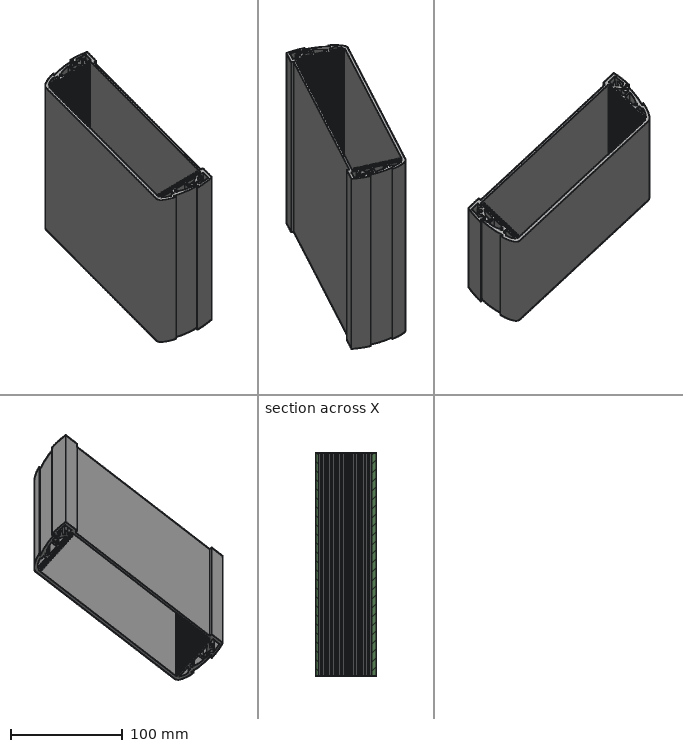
import cadquery as cq


width = 187.0
depth = 54.5
length = 200.0
half_width = width / 2
top_y = depth / 2
bottom_y = -depth / 2

cover_plate_top = 25.0
cover_plate_bottom = 22.8
base_plate_top = bottom_y + 3.0
wall_inner_x = 80.8
wall_outer_x = 82.5
wall_split_y = 16.2
interior_fillet = 0.8

rail_pitch = 3.0
rail_first_y = -22.0
base_rail_count = 13
cover_rail_count = 2
rail_tip_x = 78.2
rail_head_depth = 1.2
rail_head_thickness = 1.5
rail_neck_thickness = 0.8

pad_inner_x = 78.5
corner_x = 91.8
arm_mid = (93.0, 19.2)
arm_lip_end_y = 9.5
arm_lip_thickness = 0.5
box_top_y = 24.5
box_outer_x = 90.2
arm_inner_x = 91.0
foot_outer_x = 91.5
foot_inner_x = 89.8
lip_root_y = 11.8
bridge_root_y = 14.5
bridge_tip_y = 12.5
bridge_bottom_y = 11.5

channel_x = 85.8
channel_y = 17.5
channel_radius = 1.2
channel_outer_radius = 3.2
channel_mouth = 1.8
channel_mouth_angle = 45
channel_web_top_y = 19.0
channel_web_end = (85.5, 11.8)

leg_outer_x = 87.5
leg_inner_x = 86.0
leg_end_y = 6.5
leg_end_outer_x = 88.5
barb_top_y = 9.8
barb_tip_x = 89.5
barb_tip_top_y = 8.2
barb_tip_bottom_y = 7.5

seat_y = 10.5
catch_lip_x = 88.5
catch_lip_bottom_y = 9.5

panel_mid = (91.0, 0.5)
panel_end = (88.2, -12.8)
panel_lip_tip = (90.2, -11.5)
lower_mid = (88.5, -18.5)
corner_start = (85.5, -24.5)
corner_mid = (83.5, -26.5)
corner_end = (80.5, bottom_y)

shelf_top_y = 5.5
shelf_bottom_y = 3.8
shelf_chamfer = 0.8
chamber_outer_x = 88.8
chamber_mid = (88.0, -1.2)
chamber_low = (86.2, -6.0)
chamber_wall_y = -6.0
pocket_x = 84.5
pocket_y = -7.8
pocket_radius = 1.2
pocket_throat = 1.5
lower_chamber_top_y = -11.0
lower_chamber_outer_x = 85.5
lower_chamber_step_y = -13.8
lower_chamber_step = (86.5, -14.8)
lower_chamber_mid = (85.2, -18.8)
lower_chamber_tip = (wall_outer_x, -23.0)


def extrude(outline):
    """Extrude a closed outline over the full length."""
    return outline.close().extrude(length)


def bar(x_start, x_end, y_start, y_end):
    """Rectangular bar over the full length."""
    sketch = cq.Workplane("XY").moveTo((x_start + x_end) / 2, (y_start + y_end) / 2)
    return sketch.rect(abs(x_end - x_start), abs(y_end - y_start)).extrude(length)


def rod(x, y, radius):
    """Round rod over the full length."""
    return cq.Workplane("XY").moveTo(x, y).circle(radius).extrude(length)


def both_sides(side):
    """Join a +X side with its mirror image."""
    return side.union(side.mirror("YZ"))


def round_inner_corners(body, y):
    """Fillet where both inner walls meet a plate face at height y."""
    for side in (-1, 1):
        corner = cq.selectors.NearestToPointSelector((side * wall_inner_x, y, length / 2))
        body = body.edges("|Z").edges(corner).fillet(interior_fillet)
    return body


def rails(first_index, count):
    """T-shaped card guide rails on the inner wall."""
    head_root_x = rail_tip_x + rail_head_depth
    group = cq.Workplane("XY")
    for index in range(first_index, first_index + count):
        y = rail_first_y + index * rail_pitch
        half_head = rail_head_thickness / 2
        half_neck = rail_neck_thickness / 2
        group = group.union(bar(rail_tip_x, head_root_x, y - half_head, y + half_head))
        group = group.union(bar(head_root_x, wall_inner_x, y - half_neck, y + half_neck))
    return group


def cover_arm():
    """Corner pad, outer arm with a thin lip, and the bridge and barbed leg under the corner box."""
    return extrude(
        cq.Workplane("XY")
        .moveTo(pad_inner_x, top_y)
        .lineTo(corner_x, top_y)
        .threePointArc(arm_mid, (half_width, arm_lip_end_y))
        .lineTo(half_width - arm_lip_thickness, arm_lip_end_y)
        .lineTo(foot_outer_x, lip_root_y)
        .lineTo(foot_outer_x, seat_y)
        .lineTo(foot_inner_x, seat_y)
        .lineTo(foot_inner_x, bridge_bottom_y)
        .lineTo(leg_outer_x, bridge_bottom_y)
        .lineTo(leg_outer_x, barb_top_y)
        .lineTo(barb_tip_x, barb_tip_top_y)
        .lineTo(barb_tip_x, barb_tip_bottom_y)
        .lineTo(leg_end_outer_x, leg_end_y)
        .lineTo(leg_inner_x, leg_end_y)
        .lineTo(leg_inner_x, bridge_tip_y)
        .lineTo(leg_outer_x, bridge_tip_y)
        .lineTo(arm_inner_x, bridge_root_y)
        .lineTo(box_outer_x, box_top_y)
        .lineTo(wall_outer_x, box_top_y)
        .lineTo(wall_outer_x, cover_plate_bottom)
        .lineTo(pad_inner_x, cover_plate_bottom)
    )


def cover_screw_channel():
    """Slotted screw channel, carried by a web between the inner wall and the snap leg."""
    web = extrude(
        cq.Workplane("XY")
        .moveTo(wall_inner_x, channel_web_top_y)
        .lineTo(channel_x, channel_web_top_y)
        .lineTo(leg_outer_x, channel_y)
        .lineTo(leg_outer_x, channel_web_end[1])
        .lineTo(*channel_web_end)
        .lineTo(wall_outer_x, wall_split_y)
        .lineTo(wall_inner_x, wall_split_y)
    )
    mouth = bar(0, 2 * channel_outer_radius, -channel_mouth / 2, channel_mouth / 2)
    mouth = mouth.rotate((0, 0, 0), (0, 0, 1), channel_mouth_angle).translate((channel_x, channel_y, 0))
    channel = web.union(rod(channel_x, channel_y, channel_outer_radius))
    return channel.cut(rod(channel_x, channel_y, channel_radius)).cut(mouth)


def build_cover():
    """Flat plate with a corner box, screw channel and snap leg on each side."""
    wall = bar(wall_inner_x, wall_outer_x, wall_split_y, cover_plate_top)
    side = cover_arm().union(wall).union(cover_screw_channel())
    side = side.union(rails(base_rail_count, cover_rail_count))
    plate = bar(-wall_outer_x, wall_outer_x, cover_plate_bottom, cover_plate_top)
    cover = plate.union(both_sides(side))
    return round_inner_corners(cover, cover_plate_bottom)


def base_side_blank():
    """Solid side of the base: catch lip, recessed panel, protruding lower panel and rounded corner."""
    return extrude(
        cq.Workplane("XY")
        .moveTo(corner_end[0], base_plate_top)
        .lineTo(wall_inner_x, base_plate_top)
        .lineTo(wall_inner_x, wall_split_y)
        .lineTo(wall_outer_x, wall_split_y)
        .lineTo(wall_outer_x, shelf_top_y + shelf_chamfer)
        .lineTo(wall_outer_x + shelf_chamfer, shelf_top_y)
        .lineTo(chamber_outer_x, shelf_top_y)
        .lineTo(barb_tip_x, barb_tip_bottom_y)
        .lineTo(barb_tip_x, catch_lip_bottom_y)
        .lineTo(catch_lip_x, catch_lip_bottom_y)
        .lineTo(catch_lip_x, seat_y)
        .lineTo(foot_outer_x, seat_y)
        .threePointArc(panel_mid, panel_end)
        .lineTo(*panel_lip_tip)
        .threePointArc(lower_mid, corner_start)
        .threePointArc(corner_mid, corner_end)
    )


def middle_chamber():
    """Chamber below the shelf, narrowing to a round screw pocket."""
    half_throat = pocket_throat / 2
    hollow = extrude(
        cq.Workplane("XY")
        .moveTo(wall_outer_x, shelf_bottom_y)
        .lineTo(chamber_outer_x, shelf_bottom_y)
        .threePointArc(chamber_mid, chamber_low)
        .lineTo(pocket_x + half_throat, pocket_y + pocket_radius)
        .lineTo(pocket_x + half_throat, pocket_y)
        .lineTo(pocket_x - half_throat, pocket_y)
        .lineTo(pocket_x - half_throat, pocket_y + pocket_radius)
        .lineTo(wall_outer_x, chamber_wall_y)
    )
    return hollow.union(rod(pocket_x, pocket_y, pocket_radius))


def lower_chamber():
    """Tapered chamber between the lower panel and the inner wall."""
    return extrude(
        cq.Workplane("XY")
        .moveTo(wall_outer_x, lower_chamber_top_y)
        .lineTo(lower_chamber_outer_x, lower_chamber_top_y)
        .lineTo(lower_chamber_outer_x, lower_chamber_step_y)
        .lineTo(*lower_chamber_step)
        .threePointArc(lower_chamber_mid, lower_chamber_tip)
    )


def build_base():
    """Deep tray with hollow side walls, card rails and a catch lip on each side."""
    side = base_side_blank().cut(middle_chamber()).cut(lower_chamber())
    side = side.union(rails(0, base_rail_count))
    plate = bar(-corner_end[0], corner_end[0], bottom_y, base_plate_top)
    base = plate.union(both_sides(side))
    return round_inner_corners(base, base_plate_top)


cover = build_cover()
base = build_base()
result = cq.Compound.makeCompound([cover.val(), base.val()])